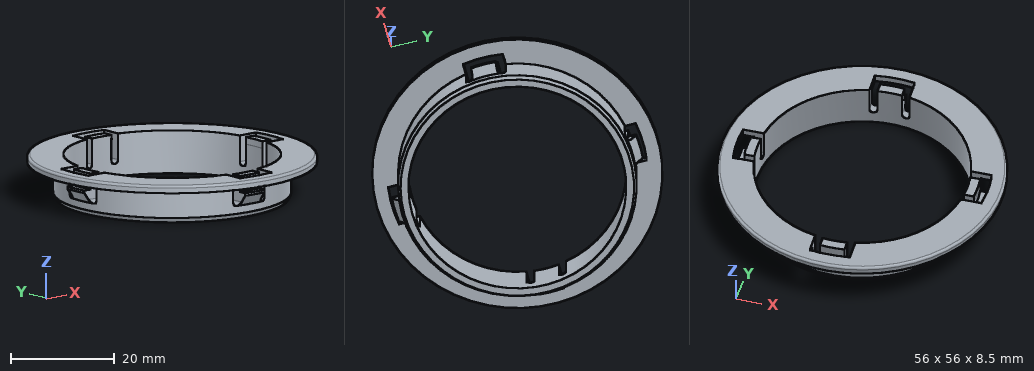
import cadquery as cq

total_height = 8.5
flange_radius = 28.0
flange_thickness = 1.5
flange_edge_fillet = 0.5
flange_underside = total_height - flange_thickness
sleeve_radius = 23.0
bore_radius = 21.0
lead_in_width = 0.5
lead_in_height = 1.0

tab_count = 4
seam_angle = 180 / tab_count
tab_width = 4.9
tab_top = 8.4
slot_width = 1.5
slot_bottom = 2.6
slot_offset = (tab_width + slot_width) / 2
window_width = tab_width + 2 * slot_width
window_radius = 25.1

hook_radius = 24.6
hook_top = 5.25
hook_lip_height = 0.5


def make_ring():
    """Flanged sleeve with a rounded top rim and a tapered lower end, its seam between tabs."""
    profile = [
        (bore_radius, 0),
        (sleeve_radius - lead_in_width, 0),
        (sleeve_radius, lead_in_height),
        (sleeve_radius, flange_underside),
        (flange_radius, flange_underside),
        (flange_radius, total_height),
        (bore_radius, total_height),
    ]
    ring = cq.Workplane("XZ").polyline(profile).close().revolve(360, (0, 0), (0, 1))
    ring = ring.edges(cq.selectors.RadiusNthSelector(-1)).edges(">Z").fillet(flange_edge_fillet)
    return ring.rotate((0, 0, 0), (0, 0, 1), seam_angle)


def radial_block(width, reach, bottom, top):
    """Block running outward from the axis along +X."""
    block = cq.Workplane("XY").box(reach, width, top - bottom, (False, True, False))
    return block.translate((0, 0, bottom))


def make_window():
    """Opening through the flange around a tab, with a curved outer wall."""
    disc = cq.Workplane("XY").circle(window_radius).extrude(total_height)
    disc = disc.rotate((0, 0, 0), (0, 0, 1), seam_angle)
    return disc.intersect(radial_block(window_width, flange_radius, flange_underside, total_height))


def make_spring():
    """Curved tab with its snap hook, reaching to the middle of the slot on each side."""
    profile = [
        (bore_radius, slot_bottom),
        (sleeve_radius, slot_bottom),
        (hook_radius, hook_top - hook_lip_height),
        (hook_radius, hook_top),
        (sleeve_radius, hook_top),
        (sleeve_radius, tab_top),
        (bore_radius, tab_top),
    ]
    sector = cq.Workplane("XZ").polyline(profile).close().revolve(2 * seam_angle, (0, 0), (0, 1))
    sector = sector.rotate((0, 0, 0), (0, 0, 1), -seam_angle)
    return sector.intersect(radial_block(2 * slot_offset, flange_radius, slot_bottom, tab_top))


def make_slot(side):
    """Round-bottomed slot beside a tab, ending inside the window; side is -1 or 1."""
    half_width = slot_width / 2
    round_center = slot_bottom + half_width
    outline = (
        cq.Workplane("YZ")
        .moveTo(-half_width, total_height)
        .lineTo(-half_width, round_center)
        .threePointArc((0, slot_bottom), (half_width, round_center))
        .lineTo(half_width, total_height)
        .close()
    )
    return outline.extrude(hook_radius).translate((0, side * slot_offset, 0))


def place_on_ring(body, index):
    """Turn a body from +X to the position of the given tab."""
    return body.rotate((0, 0, 0), (0, 0, 1), index * 360 / tab_count)


result = make_ring()
spring = make_spring()
slots = [make_slot(-1), make_slot(1)]
openings = [make_window()] + slots

for slot in slots:
    spring = spring.cut(slot)

for index in range(tab_count):
    for opening in openings:
        result = result.cut(place_on_ring(opening, index))
for index in range(tab_count):
    result = result.union(place_on_ring(spring, index))